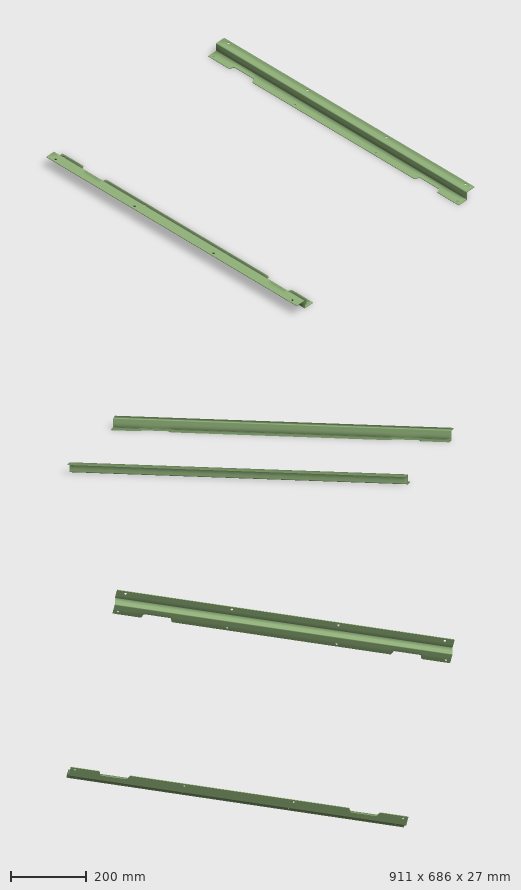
import cadquery as cq

LENGTH = 911.0
SPAN = 686.0
HEIGHT = 27.0
THICKNESS = 2.0

RAIL_WIDTH = 62.0
TOP_FLANGE = 31.0
BEND_RADIUS = 1.0

HOLES_PER_ROW = 4
TOP_HOLE_DIAMETER = 7.1
TOP_HOLE_END_GAP = 25.0
TOP_HOLE_EDGE_GAP = 9.0
BOTTOM_HOLE_DIAMETER = 5.6
BOTTOM_HOLE_END_GAP = 13.0
BOTTOM_HOLE_EDGE_GAP = 8.0

NOTCH_CENTER = 118.0
NOTCH_MOUTH = 82.0
NOTCH_FLOOR = 73.0
NOTCH_DEPTH = 14.0
NOTCH_RADIUS = 5.0

OUTER_EDGE = -SPAN / 2
INNER_EDGE = OUTER_EDGE + RAIL_WIDTH
WEB_INNER = OUTER_EDGE + TOP_FLANGE
WEB_OUTER = WEB_INNER - THICKNESS


def folded_sheet():
    """Z-section strip: top flange outward, bottom flange inward."""
    section = [
        (OUTER_EDGE, HEIGHT),
        (WEB_INNER, HEIGHT),
        (WEB_INNER, THICKNESS),
        (INNER_EDGE, THICKNESS),
        (INNER_EDGE, 0),
        (WEB_OUTER, 0),
        (WEB_OUTER, HEIGHT - THICKNESS),
        (OUTER_EDGE, HEIGHT - THICKNESS),
    ]
    sheet = cq.Workplane("YZ").polyline(section).close().extrude(LENGTH / 2, both=True)

    def bend_edge(y, z):
        return sheet.edges(cq.selectors.NearestToPointSelector((0, y, z))).vals()

    inside = bend_edge(WEB_INNER, THICKNESS) + bend_edge(WEB_OUTER, HEIGHT - THICKNESS)
    outside = bend_edge(WEB_INNER, HEIGHT) + bend_edge(WEB_OUTER, 0)
    sheet = sheet.newObject(inside).fillet(BEND_RADIUS)
    return sheet.newObject(outside).fillet(BEND_RADIUS + THICKNESS)


def hole_row(diameter, end_gap, y):
    """Vertical cutters in an equally spaced row, symmetric about mid-length."""
    pitch = (LENGTH - 2 * end_gap) / (HOLES_PER_ROW - 1)
    places = [(-LENGTH / 2 + end_gap + i * pitch, y) for i in range(HOLES_PER_ROW)]
    return cq.Workplane("XY").pushPoints(places).circle(diameter / 2).extrude(HEIGHT)


def cut_notch(sheet, center_x):
    """Cut one tapered notch and round its floor and mouth corners."""
    floor_y = INNER_EDGE - NOTCH_DEPTH
    outline = [
        (center_x - NOTCH_MOUTH / 2, INNER_EDGE),
        (center_x - NOTCH_FLOOR / 2, floor_y),
        (center_x + NOTCH_FLOOR / 2, floor_y),
        (center_x + NOTCH_MOUTH / 2, INNER_EDGE),
    ]
    cutter = cq.Workplane("XY").polyline(outline).close().extrude(THICKNESS)
    notched = sheet.cut(cutter)
    corners = []
    for x, y in outline:
        nearest = cq.selectors.NearestToPointSelector((x, y, THICKNESS / 2))
        corners += notched.edges("|Z").edges(nearest).vals()
    return notched.newObject(corners).fillet(NOTCH_RADIUS)


def make_rail():
    """Rail on the -Y side."""
    rail = folded_sheet()
    for side in (-1, 1):
        rail = cut_notch(rail, side * (LENGTH / 2 - NOTCH_CENTER))
    rail = rail.cut(hole_row(TOP_HOLE_DIAMETER, TOP_HOLE_END_GAP, OUTER_EDGE + TOP_HOLE_EDGE_GAP))
    return rail.cut(
        hole_row(BOTTOM_HOLE_DIAMETER, BOTTOM_HOLE_END_GAP, INNER_EDGE - BOTTOM_HOLE_EDGE_GAP)
    )


HALF_TURN = 180
rails = []
for turn in range(2):
    rails.append(make_rail().rotate((0, 0, 0), (0, 0, 1), turn * HALF_TURN))

result = cq.Compound.makeCompound([rail.val() for rail in rails])